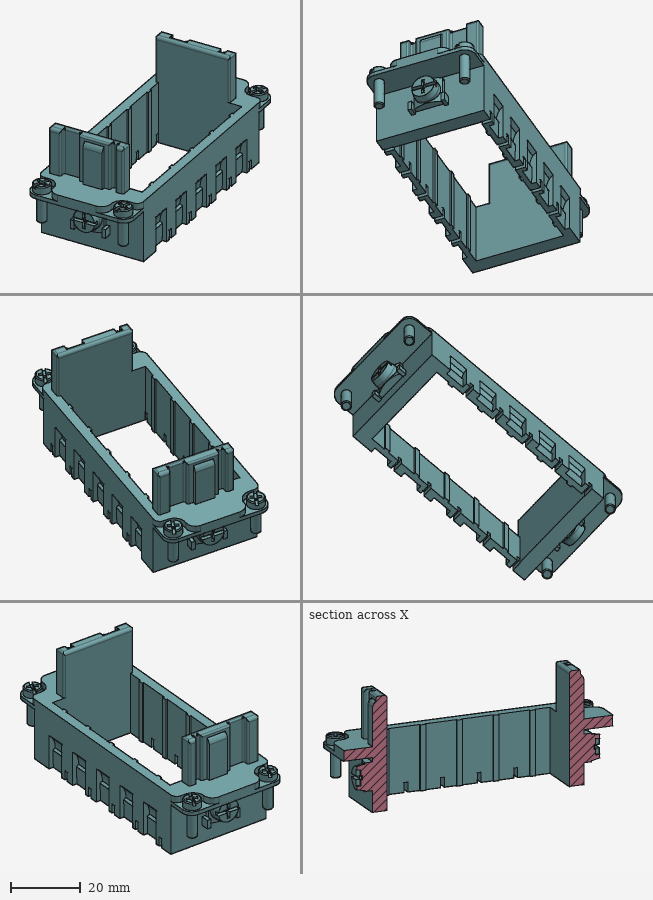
import cadquery as cq
import math

frame_width = 34.0
flange_length = 84.5
overall_height = 35.0
block_length = 66.4
frame_top = 19.9
flange_thickness = 3.4
flange_bottom = frame_top - flange_thickness
opening_width = 27.7
opening_length = 57.1

screw_x = 13.5
screw_y = 38.9
corner_radius = flange_length / 2 - screw_y
corner_step_z = 17.8
head_diameter = 5.5
head_top = 20.4
head_chamfer = 0.3
shaft_diameter = 3.0
shaft_bottom = 7.6
shaft_chamfer = 0.3
drive_angle = 68.0
drive_depth = 1.0
drive_slot_width = 0.9
drive_cross_length = 3.4
drive_hole_diameter = 1.1
drive_hole_depth = 1.5

step_inner_x = 9.55
step_inner_y = 35.3
step_scoop_radius = 3.6
step_end_radius = 3.1
step_side_radius = 2.1

module_pitch = 11.5
module_places = [module_pitch * i for i in range(-2, 3)]
rib_width = 1.7
rib_height = 0.5
slot_offset = 5.15
slot_width = 1.2
slot_height = 3.0

window_width = 6.2
window_top = 11.15
window_slope_bottom = 10.1
window_slope_depth = 1.2
window_depth = 2.2
ledge_top = 6.3
ledge_bottom = 5.8
ledge_depth = 1.35
window_foot_depth = 1.5

tongue_left = -14.9
tongue_right = 9.9
left_pad_edge = -11.0
right_pad_edge = 7.3
rib_half_width = 5.2
tongue_inner_y = opening_length / 2
panel_y = 30.5
rib_y = 32.1
pad_y = 32.5
tongue_corner_radius = 0.55
tongue_inner_round = 1.0
pad_top_round = 1.1
key_width = 6.4
key_y = block_length / 2
key_top = 33.6
key_front_top = 31.85
key_bow = 0.6

clamp_width = 8.95
clamp_bottom = 6.6
clamp_top = 15.4
clamp_depth = 2.4
clamp_side_depth = 1.2
terminal_z = (clamp_bottom + clamp_top) / 2
terminal_diameter = 8.0
terminal_head_height = 2.6
terminal_rim_height = 0.5
terminal_taper = 12.0
terminal_drive_depth = 1.3
terminal_hole_depth = 1.8
terminal_slot_width = 1.0
terminal_cross_width = 0.85
terminal_cross_length = 4.7
terminal_hole_diameter = 1.3
post_inner_x = 4.65
post_width = 1.2
post_bottom = 5.8
post_top = 8.7
post_depth = 2.6


def box(x0, x1, y0, y1, z0, z1):
    """Box between opposite corners."""
    return cq.Workplane("XY").box(x1 - x0, y1 - y0, z1 - z0, centered=False).translate((x0, y0, z0))


def both_ends(solid):
    """The solid at the +Y end together with its mirror image at the -Y end."""
    return solid.union(solid.mirror("XZ"))


def both_sides(solid):
    """The solid at the +X side together with its mirror image at the -X side."""
    return solid.union(solid.mirror("YZ"))


def make_frame():
    """Flanged block with its through opening, inner ribs, slots, windows and stepped corners."""
    half_width = frame_width / 2
    block = cq.Workplane("XY").box(frame_width, block_length, frame_top, centered=(True, True, False))
    flange = (
        cq.Workplane("XY", origin=(0, 0, flange_bottom))
        .rect(frame_width, flange_length)
        .extrude(flange_thickness)
        .edges("|Z")
        .fillet(corner_radius)
    )
    opening = box(
        -opening_width / 2, opening_width / 2, -opening_length / 2, opening_length / 2, 0, frame_top
    )
    frame = block.union(flange).cut(opening)
    ribs = cq.Workplane("XY").pushPoints([(opening_width / 2 - rib_height / 2, y) for y in module_places])
    ribs = ribs.rect(rib_height, rib_width).extrude(frame_top)
    slots = (
        cq.Workplane("XY")
        .pushPoints([((half_width + opening_width / 2) / 2, y + slot_offset) for y in module_places])
        .rect(half_width - opening_width / 2, slot_width)
        .extrude(slot_height)
    )
    frame = frame.union(both_sides(ribs)).cut(both_sides(slots))
    return frame.cut(both_sides(make_windows())).cut(both_ends(both_sides(make_corner_step())))


def make_windows():
    """Latch windows of the +X wall: sloped roof, curved back, ledge and leaning lower wall."""
    face_x = frame_width / 2
    rise = window_slope_bottom - ledge_top
    run = window_depth - window_slope_depth
    back_radius = (rise**2 + run**2) / (2 * run)
    half_angle = math.atan2(rise, back_radius - run) / 2
    back_middle = (
        face_x - window_depth + back_radius * (1 - math.cos(half_angle)),
        ledge_top + back_radius * math.sin(half_angle),
    )
    window = (
        cq.Workplane("XZ", origin=(0, window_width / 2, 0))
        .moveTo(face_x, 0)
        .lineTo(face_x - window_foot_depth, 0)
        .lineTo(face_x - ledge_depth, ledge_bottom)
        .lineTo(face_x - window_depth, ledge_top)
        .threePointArc(back_middle, (face_x - window_slope_depth, window_slope_bottom))
        .lineTo(face_x, window_top)
        .close()
        .extrude(window_width)
    )
    windows = cq.Workplane("XY")
    for y in module_places:
        windows = windows.union(window.translate((0, y, 0)))
    return windows


def make_corner_step():
    """Material removed above the step of the +X +Y flange corner."""
    side_x = frame_width / 2
    end_y = flange_length / 2
    diagonal = math.sqrt(0.5)
    scoop_x = step_inner_x + step_scoop_radius
    scoop_y = step_inner_y + step_scoop_radius
    end_center_x = step_inner_x - step_end_radius
    end_center_y = end_y - step_end_radius
    side_center_x = side_x - step_side_radius
    side_center_y = step_inner_y - step_side_radius
    return (
        cq.Workplane("XY", origin=(0, 0, corner_step_z))
        .moveTo(side_x, end_y)
        .lineTo(end_center_x, end_y)
        .threePointArc(
            (end_center_x + step_end_radius * diagonal, end_center_y + step_end_radius * diagonal),
            (step_inner_x, end_center_y),
        )
        .lineTo(step_inner_x, scoop_y)
        .threePointArc(
            (scoop_x - step_scoop_radius * diagonal, scoop_y - step_scoop_radius * diagonal),
            (scoop_x, step_inner_y),
        )
        .lineTo(side_center_x, step_inner_y)
        .threePointArc(
            (side_center_x + step_side_radius * diagonal, side_center_y + step_side_radius * diagonal),
            (side_x, side_center_y),
        )
        .close()
        .extrude(frame_top - corner_step_z)
    )


def make_screw():
    """Upright screw on the Z axis with a full slot crossed by a shorter one."""
    head = (
        cq.Workplane("XY", origin=(0, 0, corner_step_z))
        .circle(head_diameter / 2)
        .extrude(head_top - corner_step_z)
        .faces(">Z")
        .chamfer(head_chamfer)
    )
    shaft = (
        cq.Workplane("XY", origin=(0, 0, shaft_bottom))
        .circle(shaft_diameter / 2)
        .extrude(corner_step_z - shaft_bottom)
        .faces("<Z")
        .chamfer(shaft_chamfer)
    )
    drive = (
        cq.Workplane("XY", origin=(0, 0, head_top - drive_depth))
        .rect(head_diameter, drive_slot_width)
        .extrude(drive_depth)
    )
    cross = (
        cq.Workplane("XY", origin=(0, 0, head_top - drive_depth))
        .rect(drive_slot_width, drive_cross_length)
        .extrude(drive_depth)
    )
    hole = (
        cq.Workplane("XY", origin=(0, 0, head_top - drive_hole_depth))
        .circle(drive_hole_diameter / 2)
        .extrude(drive_hole_depth)
    )
    screw = head.union(shaft).cut(drive).cut(cross).cut(hole)
    return screw.rotate((0, 0, 0), (0, 0, 1), drive_angle)


def rounding_bar(x0, x1, face_y, radius, side):
    """Waste between a sharp top edge at face_y and its rounding; side is +1 for a face looking to +Y."""
    center_y = face_y - side * radius
    center_z = overall_height - radius
    diagonal = radius * math.sqrt(0.5)
    return (
        cq.Workplane("YZ", origin=(x0, 0, 0))
        .moveTo(face_y, center_z)
        .threePointArc((center_y + side * diagonal, center_z + diagonal), (center_y, overall_height))
        .lineTo(face_y, overall_height)
        .close()
        .extrude(x1 - x0)
    )


def make_tongue():
    """Tongue at the +Y end: two pads and a middle rib on a thinner panel."""
    plan = (
        cq.Workplane("XY", origin=(0, 0, frame_top))
        .moveTo(tongue_left, tongue_inner_y)
        .lineTo(tongue_left, pad_y)
        .lineTo(left_pad_edge, pad_y)
        .lineTo(left_pad_edge, panel_y)
        .lineTo(-rib_half_width, panel_y)
        .lineTo(-rib_half_width, rib_y)
        .lineTo(rib_half_width, rib_y)
        .lineTo(rib_half_width, panel_y)
        .lineTo(right_pad_edge, panel_y)
        .lineTo(right_pad_edge, pad_y)
        .lineTo(tongue_right, pad_y)
        .lineTo(tongue_right, tongue_inner_y)
        .close()
        .extrude(overall_height - frame_top)
        .edges("|Z")
        .fillet(tongue_corner_radius)
    )
    tongue = plan.cut(rounding_bar(tongue_left, tongue_right, tongue_inner_y, tongue_inner_round, -1))
    outer_edges = (
        (tongue_left, left_pad_edge, pad_y, pad_top_round),
        (left_pad_edge, -rib_half_width, panel_y, tongue_corner_radius),
        (-rib_half_width, rib_half_width, rib_y, tongue_corner_radius),
        (rib_half_width, right_pad_edge, panel_y, tongue_corner_radius),
        (right_pad_edge, tongue_right, pad_y, pad_top_round),
    )
    for x0, x1, face_y, radius in outer_edges:
        tongue = tongue.cut(rounding_bar(x0, x1, face_y, radius, 1))
    side_bars = rounding_bar(tongue_inner_y, pad_y, -tongue_left, tongue_corner_radius, 1).union(
        rounding_bar(tongue_inner_y, pad_y, -tongue_right, tongue_corner_radius, -1)
    )
    return tongue.cut(side_bars.rotate((0, 0, 0), (0, 0, 1), 90))


def make_key():
    """Key on the middle rib of the +Y tongue, with a rounded top."""
    return (
        cq.Workplane("YZ", origin=(-key_width / 2, 0, 0))
        .moveTo(panel_y, frame_top)
        .lineTo(key_y, frame_top)
        .lineTo(key_y, key_front_top)
        .threePointArc(
            (rib_y + key_bow * (key_y - rib_y), key_front_top + key_bow * (key_top - key_front_top)),
            (rib_y, key_top),
        )
        .lineTo(panel_y, key_top)
        .close()
        .extrude(key_width)
    )


def make_terminal():
    """Clamp plate, slotted screw head and two guard posts on the +Y end face."""
    face_y = block_length / 2
    clamp_y = face_y + clamp_depth
    head_y = clamp_y + terminal_head_height
    clamp = (
        cq.Workplane("XY", origin=(0, 0, clamp_bottom))
        .moveTo(-clamp_width / 2, face_y)
        .lineTo(-clamp_width / 2, face_y + clamp_side_depth)
        .threePointArc((0, clamp_y), (clamp_width / 2, face_y + clamp_side_depth))
        .lineTo(clamp_width / 2, face_y)
        .close()
        .extrude(clamp_top - clamp_bottom)
    )

    def on_clamp(y):
        return cq.Workplane("XZ", origin=(0, y, terminal_z))

    rim_y = clamp_y + terminal_rim_height
    rim = on_clamp(rim_y).circle(terminal_diameter / 2).extrude(rim_y - face_y)
    head = (
        on_clamp(rim_y)
        .circle(terminal_diameter / 2)
        .extrude(rim_y - head_y, taper=terminal_taper)
        .union(rim)
    )
    slot = on_clamp(head_y).rect(terminal_diameter, terminal_slot_width).extrude(terminal_drive_depth)
    cross = on_clamp(head_y).rect(terminal_cross_width, terminal_cross_length).extrude(terminal_drive_depth)
    hole = on_clamp(head_y).circle(terminal_hole_diameter / 2).extrude(terminal_hole_depth)
    head = head.cut(slot).cut(cross).cut(hole)
    post = box(post_inner_x, post_inner_x + post_width, face_y, face_y + post_depth, post_bottom, post_top)
    return clamp.union(head).union(both_sides(post))


result = make_frame()
result = result.union(both_ends(make_tongue().union(make_key())))
result = result.union(both_ends(make_terminal()))
screw = make_screw()
for x in (-screw_x, screw_x):
    for y in (-screw_y, screw_y):
        result = result.union(screw.translate((x, y, 0)))